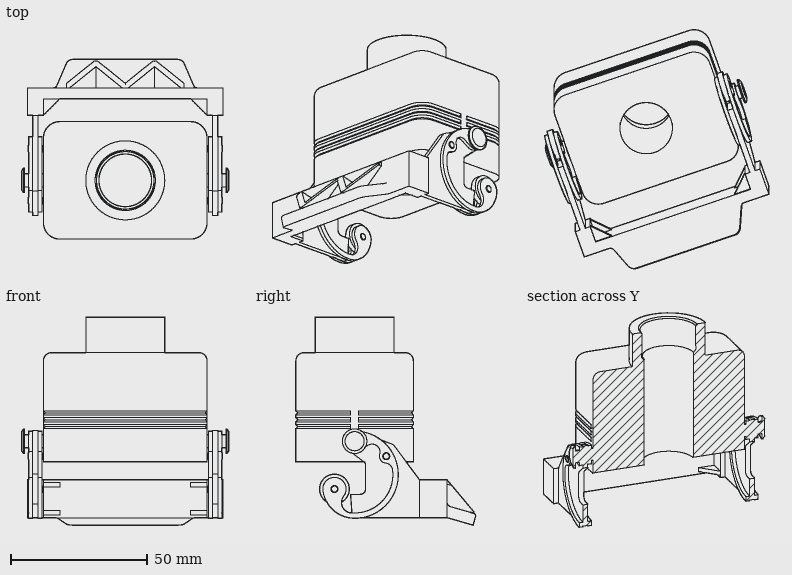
import math

import cadquery as cq


hood_width = 60.15
hood_depth = 43.2
hood_height = 40.1
hood_corner_radius = 6.1
hood_top_radius = 3.05

groove_half_height = 0.8
groove_wall_angle = 45
groove_pitch = 2.5
groove_count = 3
lowest_groove_height = 12.9
groove_bridge_width = 3.0

collar_radius = 14.5
collar_height = 13.0
bore_radius = 10.5
bore_depth = 8.3
bore_chamfer_width = 0.5
bore_chamfer_height = 0.6
bore_undercut_width = 0.2
bore_undercut_height = 1.1
passage_radius = 9.6
bore_seat_height = 1.6

lever_mid = 33.0
plate_thickness = 2.05
plate_half = plate_thickness / 2
lever_thickness = 4.9
pivot_height = 7.55
pivot = (0, pivot_height)
pivot_boss_radius = 3.75
plate_pivot_radius = 4.0
rivet_radius = 1.3
rivet_protrusion = 0.2
rivet_chamfer = 0.19
upper_rivet = (11.6, 2.05)
roller_rivet = (-7.4, -10.0)
roller_radius = 5.5

hook_outer_radius = 16.0
hook_inner_radius = 14.05
roller_boss_radius = 4.3
hook_throat_radius = 3.8
rivet_boss_radius = 2.5
below_rivet_radius = 3.0
above_rivet_radius = 2.9
above_rivet_rise = 1.5

plate_shoulder = (14.3, 6.25)
plate_shoulder_radius = 1.9
mouth_back = 4.0
mouth_top = -0.45
mouth_floor = -11.9
mouth_top_radius = 1.5
mouth_floor_radius = 1.9
lip_top = -1.5
lip_bottom = -0.9

zero_length = 7.63e-07

pin_radius = 2.45
pin_head_radius = 4.5
pin_head_inner = 36.9
pin_head_outer = 38.0
pin_head_chamfer_width = 1.0
pin_head_chamfer_length = 0.6
pin_embedment = 1.5

handle_half_width = 35.9
handle_top = -6.6
handle_bottom = -20.5
handle_back = 33.9
handle_thickness = 4.0
handle_arm_reach = 6.1
bar_front = handle_back - handle_thickness
arm_front = bar_front - handle_arm_reach
gusset_thickness = 1.6
gusset_inset = 1.0

tab_angle = 16.0
tab_thickness = 4.3
tab_drop = 2.75
tilt = math.radians(tab_angle)
tab_length = tab_drop / math.sin(tilt)
tab_root_half_width = 25.1
tab_tip_half_width = 21.0
tab_embedment = 1.5
tab_corner_radius = 2.8
tab_edge_radius = 0.9
tab_root_radius = 1.75
margin = 0.1

web_slope = 50.0
fold_angle = 12.0
fold_half_pitch = 10.75
fold_shoulder = 1.7
fold_depth = 8.5
pocket_half_width = 9.7
pocket_depth = 7.6


def both_sides(body):
    """The body together with its mirror image across the centre plane X = 0."""
    return body.union(body.mirror("YZ"))


def axial_disc(center, radius, x_start, x_end):
    """A disc with its axis along X, centred at (Y, Z)."""
    return cq.Workplane("YZ", origin=(x_start, *center)).circle(radius).extrude(x_end - x_start)


def prism_x(outline, thickness):
    """Extrude a YZ outline to a layer of a lever, centred on the middle of the lever."""
    return outline.extrude(thickness / 2, both=True).translate((lever_mid, 0, 0))


def hood_outline(z):
    return (
        cq.Workplane("XY", origin=(0, 0, z))
        .sketch()
        .rect(hood_width, hood_depth)
        .vertices()
        .fillet(hood_corner_radius)
        .finalize()
    )


def groove_cutter(z):
    """A V-shaped ring at height z, interrupted in the middle of the short sides."""
    band = cq.Workplane("XY", origin=(0, 0, z)).box(2 * hood_width, 2 * hood_depth, 2 * groove_half_height)
    lower_core = hood_outline(z - groove_half_height).extrude(groove_half_height, taper=groove_wall_angle)
    upper_core = hood_outline(z + groove_half_height).extrude(-groove_half_height, taper=groove_wall_angle)
    bridge = cq.Workplane("XY", origin=(0, 0, z)).box(
        2 * hood_width, groove_bridge_width, 2 * groove_half_height
    )
    return band.cut(lower_core).cut(upper_core).cut(bridge)


def bore_cutter():
    """The stepped bore of the collar, continued through the hood."""
    top = hood_height + collar_height
    undercut_top = top - bore_depth
    undercut_bottom = undercut_top - bore_undercut_height
    undercut_radius = bore_radius + bore_undercut_width
    seat_bottom = undercut_bottom - bore_seat_height
    seat_width = undercut_radius - passage_radius
    seat_radius = (seat_width**2 + bore_seat_height**2) / (2 * seat_width)
    half_turn = math.asin(bore_seat_height / seat_radius) / 2
    seat_middle = (
        undercut_radius - seat_radius * (1 - math.cos(half_turn)),
        undercut_bottom - seat_radius * math.sin(half_turn),
    )
    return (
        cq.Workplane("XZ")
        .moveTo(0, top)
        .lineTo(bore_radius + bore_chamfer_width, top)
        .lineTo(bore_radius, top - bore_chamfer_height)
        .lineTo(bore_radius, undercut_top)
        .lineTo(undercut_radius, undercut_bottom)
        .threePointArc(seat_middle, (passage_radius, seat_bottom))
        .lineTo(passage_radius, 0)
        .lineTo(0, 0)
        .close()
        .revolve(360, (0, 0, 0), (0, 1, 0))
    )


def make_hood():
    hood = hood_outline(0).extrude(hood_height).faces(">Z").edges().fillet(hood_top_radius)
    for i in range(groove_count):
        hood = hood.cut(groove_cutter(lowest_groove_height + i * groove_pitch))
    collar = cq.Workplane("XY", origin=(0, 0, hood_height)).circle(collar_radius).extrude(collar_height)
    return hood.union(collar).cut(bore_cutter())


def touching_center(center_a, distance_a, center_b, distance_b):
    """The point at the given distances from two centres, on the left of the line from a to b."""
    dy, dz = center_b[0] - center_a[0], center_b[1] - center_a[1]
    gap = math.hypot(dy, dz)
    along = (gap**2 + distance_a**2 - distance_b**2) / (2 * gap)
    aside = math.sqrt(distance_a**2 - along**2)
    return (
        center_a[0] + (along * dy - aside * dz) / gap,
        center_a[1] + (along * dz + aside * dy) / gap,
    )


def tangent_outline(arcs):
    """A closed outline of arcs, each (centre, radius), joined by tangent lines where they do not touch.

    A positive radius turns counterclockwise and a negative one clockwise.
    """

    def tangent_ends(arc, following):
        (center_a, radius_a), (center_b, radius_b) = arc, following
        dy, dz = center_b[0] - center_a[0], center_b[1] - center_a[1]
        ratio = (radius_b - radius_a) / math.hypot(dy, dz)
        heading = math.atan2(dz, dy) - math.asin(max(-1, min(1, ratio)))
        left = (-math.sin(heading), math.cos(heading))
        leaving = (center_a[0] - radius_a * left[0], center_a[1] - radius_a * left[1])
        arriving = (center_b[0] - radius_b * left[0], center_b[1] - radius_b * left[1])
        return leaving, arriving

    joints = [tangent_ends(arc, arcs[(i + 1) % len(arcs)]) for i, arc in enumerate(arcs)]
    outline = cq.Workplane("YZ").moveTo(*joints[-1][1])
    for i, (center, radius) in enumerate(arcs):
        start = joints[i - 1][1]
        leaving, arriving = joints[i]
        start_angle = math.atan2(start[1] - center[1], start[0] - center[0])
        end_angle = math.atan2(leaving[1] - center[1], leaving[0] - center[0])
        turn = math.copysign(1, radius)
        middle_angle = start_angle + turn * ((turn * (end_angle - start_angle)) % (2 * math.pi)) / 2
        middle = (
            center[0] + abs(radius) * math.cos(middle_angle),
            center[1] + abs(radius) * math.sin(middle_angle),
        )
        outline = outline.threePointArc(middle, leaving)
        if math.dist(leaving, arriving) > zero_length:
            outline = outline.lineTo(*arriving)
    return outline.close()


def tangent_point(point, center, radius, side):
    """Where a line from the point touches a circle; side +1 or -1 chooses between the two."""
    dy, dz = point[0] - center[0], point[1] - center[1]
    angle = math.atan2(dz, dy) + side * math.acos(radius / math.hypot(dy, dz))
    return (center[0] + radius * math.cos(angle), center[1] + radius * math.sin(angle))


def make_cheeks():
    """The hook-shaped outer layers, from the pivot round to the roller."""
    hook = (0, pivot_height + pivot_boss_radius - hook_outer_radius)
    hook_bottom = hook[1] - hook_outer_radius
    roller_rise = roller_rivet[1] - hook_bottom
    tail_radius = (roller_rivet[0] ** 2 + roller_rise**2 - roller_boss_radius**2) / (
        2 * (roller_rise - roller_boss_radius)
    )
    tail = (0, hook_bottom + tail_radius)
    throat = touching_center(
        hook, hook_inner_radius - hook_throat_radius, roller_rivet, roller_boss_radius + hook_throat_radius
    )
    below_rivet = touching_center(
        upper_rivet, rivet_boss_radius + below_rivet_radius, hook, hook_inner_radius - below_rivet_radius
    )
    reach = math.sqrt((rivet_boss_radius + above_rivet_radius) ** 2 - above_rivet_rise**2)
    above_rivet = (upper_rivet[0] - reach, upper_rivet[1] + above_rivet_rise)
    outline = tangent_outline(
        [
            (hook, -hook_outer_radius),
            (tail, -tail_radius),
            (roller_rivet, -roller_boss_radius),
            (throat, hook_throat_radius),
            (hook, hook_inner_radius),
            (below_rivet, below_rivet_radius),
            (upper_rivet, -rivet_boss_radius),
            (above_rivet, above_rivet_radius),
            (pivot, -pivot_boss_radius),
        ]
    )
    slot = prism_x(cq.Workplane("YZ").rect(4 * hook_outer_radius, 4 * hook_outer_radius), plate_thickness)
    return prism_x(outline, lever_thickness).cut(slot)


def make_plate():
    """The middle layer that joins the pivot to the handle."""
    upper_touch = tangent_point(plate_shoulder, pivot, plate_pivot_radius, 1)
    mouth_top_corner = (mouth_back, mouth_top)
    mouth_floor_corner = (mouth_back, mouth_floor)
    lower_touch = tangent_point(mouth_top_corner, pivot, plate_pivot_radius, -1)
    outline = cq.Workplane("YZ").polyline(
        [
            (arm_front, handle_bottom),
            (arm_front, handle_top),
            plate_shoulder,
            upper_touch,
            pivot,
            lower_touch,
            mouth_top_corner,
            mouth_floor_corner,
            (lip_top, mouth_floor),
            (lip_bottom, handle_bottom),
        ]
    )
    plate = prism_x(outline.close(), plate_thickness)
    for corner, radius in (
        (plate_shoulder, plate_shoulder_radius),
        (mouth_top_corner, mouth_top_radius),
        (mouth_floor_corner, mouth_floor_radius),
    ):
        plate = plate.edges(cq.selectors.NearestToPointSelector((lever_mid, *corner))).fillet(radius)
    return plate.union(axial_disc(pivot, plate_pivot_radius, lever_mid - plate_half, lever_mid + plate_half))


def make_rivet(center):
    half_length = lever_thickness / 2 + rivet_protrusion
    rivet = axial_disc(center, rivet_radius, lever_mid - half_length, lever_mid + half_length)
    return rivet.faces("<X or >X").chamfer(rivet_chamfer)


def make_pin():
    """The pivot pin, rooted in the hood and closed by a chamfered head."""
    shank = axial_disc(pivot, pin_radius, hood_width / 2 - pin_embedment, pin_head_inner)
    head = axial_disc(pivot, pin_head_radius, pin_head_inner, pin_head_outer)
    head = head.faces(">X").chamfer(pin_head_chamfer_length, pin_head_chamfer_width)
    return shank.union(head)


def make_lever():
    roller = axial_disc(roller_rivet, roller_radius, lever_mid - plate_half, lever_mid + plate_half)
    lever = make_plate().union(roller).union(make_cheeks()).union(make_pin())
    return lever.union(make_rivet(upper_rivet)).union(make_rivet(roller_rivet))


def make_bar():
    """The bar with its two end arms and the gussets in the inner corners."""
    height = handle_top - handle_bottom
    arm_inner = hood_width / 2

    def block(x_min, x_max, y_min):
        return (
            cq.Workplane("XY", origin=(0, 0, handle_bottom))
            .moveTo(x_min, y_min)
            .lineTo(x_max, y_min)
            .lineTo(x_max, handle_back)
            .lineTo(x_min, handle_back)
            .close()
            .extrude(height)
        )

    def gusset(z):
        return (
            cq.Workplane("XY", origin=(0, 0, z))
            .polyline(
                [(arm_inner, arm_front), (arm_inner, bar_front), (arm_inner - handle_arm_reach, bar_front)]
            )
            .close()
            .extrude(gusset_thickness)
        )

    end = block(arm_inner, handle_half_width, arm_front)
    end = end.union(gusset(handle_bottom + gusset_inset))
    end = end.union(gusset(handle_top - gusset_inset - gusset_thickness))
    return block(-handle_half_width, handle_half_width, bar_front).union(both_sides(end))


def make_tab():
    """The sloping finger tab, a rounded trapezium starting inside the bar."""
    flare = (tab_root_half_width - tab_tip_half_width) / tab_length
    start_half_width = tab_root_half_width + flare * tab_embedment
    plane = cq.Plane(
        origin=(0, handle_back, handle_bottom), xDir=(1, 0, 0), normal=(0, math.sin(tilt), math.cos(tilt))
    )
    tab = (
        cq.Workplane(plane)
        .polyline(
            [
                (-start_half_width, -tab_embedment),
                (start_half_width, -tab_embedment),
                (tab_tip_half_width, tab_length),
                (-tab_tip_half_width, tab_length),
            ]
        )
        .close()
        .extrude(tab_thickness)
    )
    tip_y = handle_back + tab_length * math.cos(tilt)
    upright = cq.selectors.ParallelDirSelector(plane.zDir)
    for side in (-1, 1):
        corner = (side * tab_tip_half_width, tip_y, handle_bottom - tab_drop)
        nearest = cq.selectors.NearestToPointSelector(corner)
        tab = tab.edges(upright).edges(nearest).fillet(tab_corner_radius)
    top_edges = tab.faces(cq.selectors.DirectionMinMaxSelector(plane.zDir, True)).edges()
    return top_edges.edges("not <Y").fillet(tab_edge_radius)


def make_web():
    """The zigzag web: a V-folded section run down the fold lines and cut to the sloping upper face."""
    run = tab_length * math.cos(tilt) + tab_thickness * math.sin(tilt) - tab_edge_radius
    run_vector = cq.Vector(0, run, -run * math.tan(math.radians(fold_angle)))

    def folded_prism(points):
        wire = cq.Wire.makePolygon([cq.Vector(x, handle_back, z) for x, z in points], close=True)
        return cq.Workplane(obj=cq.Solid.extrudeLinear(wire, [], run_vector))

    shoulder_z = handle_top - fold_shoulder
    valley_z = shoulder_z - fold_depth
    web = folded_prism(
        [
            (-2 * fold_half_pitch, handle_top),
            (-2 * fold_half_pitch, shoulder_z),
            (-fold_half_pitch, valley_z),
            (0, shoulder_z),
            (fold_half_pitch, valley_z),
            (2 * fold_half_pitch, shoulder_z),
            (2 * fold_half_pitch, handle_top),
        ]
    )
    for x in (-fold_half_pitch, fold_half_pitch):
        web = web.cut(
            folded_prism(
                [
                    (x - pocket_half_width, handle_top),
                    (x, handle_top - pocket_depth),
                    (x + pocket_half_width, handle_top),
                ]
            )
        )
    slope_drop = run * math.tan(math.radians(web_slope))
    wedge = (
        cq.Workplane("YZ")
        .polyline(
            [
                (handle_back, handle_top),
                (handle_back + run, handle_top - slope_drop),
                (handle_back + run, handle_bottom - tab_drop),
                (handle_back, handle_bottom - tab_drop),
            ]
        )
        .close()
        .extrude(2 * fold_half_pitch, both=True)
    )
    return web.intersect(wedge)


def make_handle():
    handle = make_bar().union(make_tab())
    root_edges = cq.selectors.BoxSelector(
        (-handle_half_width + margin, handle_back - margin, handle_bottom + margin),
        (handle_half_width - margin, handle_back + margin, handle_top - margin),
    )
    handle = handle.edges(root_edges).fillet(tab_root_radius)
    return handle.union(make_web())


result = make_hood().union(both_sides(make_lever())).union(make_handle()).solids()